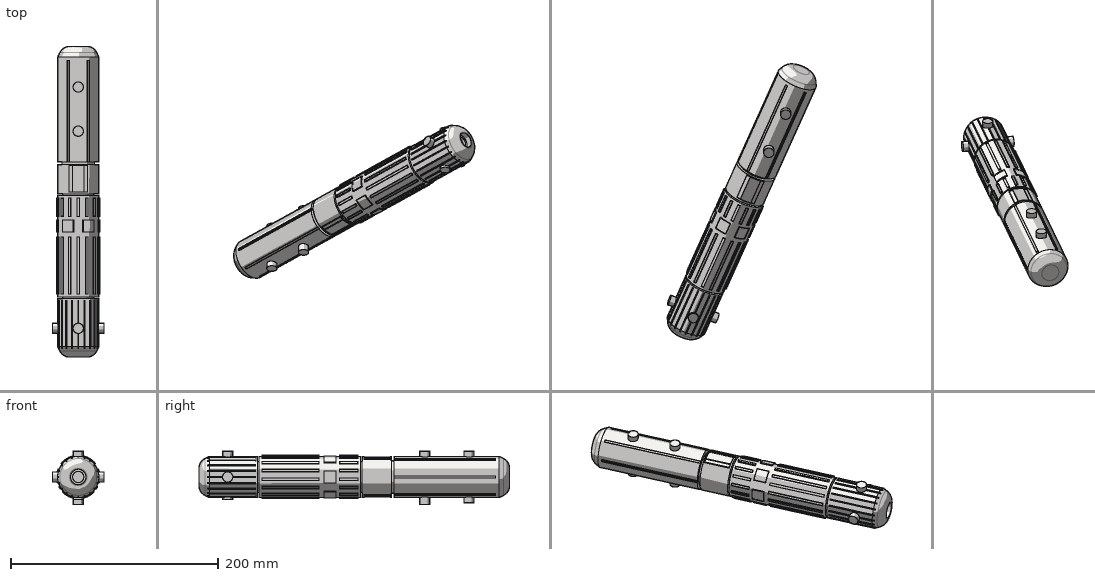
import cadquery as cq
import math

length = 300.0
half_length = length / 2
body_diameter = 40.0
body_radius = body_diameter / 2

dome_length = 10.2
cone_angle = 26.0
nose_radius = 10.5

sleeve_joint_y = 37.2
grip_neck_radius = 15.0
ring_grooves = [
    (sleeve_joint_y, 2.7, 16.0),
    (7.0, 1.5, grip_neck_radius),
    (-92.7, 1.5, grip_neck_radius),
]

sleeve_groove_count = 6
sleeve_groove_width = 2.0
sleeve_groove_depth = 1.0
sleeve_groove_end = 136.2

recess_back = 34.8
recess_front = 9.5
recess_half_width = 9.0
recess_depth = 1.0
bar_half_width = 5.5
bar_height = 19.2

grip_radius = 21.0
rib_count = 15
rib_width = 2.5
rib_spans = [(-14.0, 3.5), (-89.0, -34.0)]
pad_count = 6
pad_width = 12.0
pad_span = (-29.5, -17.5)

nose_groove_count = 20
nose_groove_width = 1.0
nose_groove_depth = 1.0
nose_groove_start = -95.5

pin_diameter = 10.0
nose_pin_y = -122.0
rear_pin_y = 110.7
middle_pin_y = 68.0
pin_span = 50.0
pin_reach = pin_span / 2
rear_pin_drop = 25.0
overall_height = 51.5
middle_pin_drop = overall_height - pin_reach
nose_pin_drop = 22.0

bore_diameter = 15.0
bore_depth = 5.5
inner_hole_diameter = 10.8
inner_hole_depth = 3.0


def radial_box(width, y_start, y_end, r_inner, r_outer, angle):
    """Box between two radii, turned about Y from +Z by the given angle."""
    box = cq.Workplane("XY").box(width, y_end - y_start, r_outer - r_inner)
    box = box.translate((0, (y_start + y_end) / 2, (r_inner + r_outer) / 2))
    return box.rotate((0, 0, 0), (0, 1, 0), angle)


def radial_set(count, *box_sizes):
    """Equally spaced radial boxes, the first one at +Z."""
    boxes = cq.Workplane("XY")
    for i in range(count):
        boxes = boxes.add(radial_box(*box_sizes, i * 360 / count))
    return boxes.combine()


def rod(radius, y_start, y_end):
    """Round rod along Y."""
    rod_solid = cq.Workplane("XZ").circle(radius).extrude(y_start - y_end)
    return rod_solid.translate((0, y_start, 0))


def pin(y, direction, reach):
    """Round pin from the axis out to the given reach."""
    return cq.Workplane(
        cq.Plane(origin=(0, y, 0), xDir=(0, 1, 0), normal=direction)
    ).circle(pin_diameter / 2).extrude(reach)


def turned_body():
    """Revolved body with a domed end at both sides."""
    slope = math.radians(cone_angle)
    turn = math.radians(90 - cone_angle)
    corner_radius = body_radius - dome_length * math.tan(slope)
    tangent = nose_radius * math.tan(turn / 2)
    face_radius = corner_radius - tangent
    seam_radius = corner_radius + tangent * math.sin(slope)
    seam_y = half_length - tangent * math.cos(slope)
    middle_radius = face_radius + nose_radius * math.sin(turn / 2)
    middle_y = half_length - nose_radius * (1 - math.cos(turn / 2))
    shoulder_y = half_length - dome_length
    profile = (
        cq.Workplane("XY")
        .moveTo(0, -half_length)
        .lineTo(face_radius, -half_length)
        .threePointArc((middle_radius, -middle_y), (seam_radius, -seam_y))
        .lineTo(body_radius, -shoulder_y)
        .lineTo(body_radius, shoulder_y)
        .lineTo(seam_radius, seam_y)
        .threePointArc((middle_radius, middle_y), (face_radius, half_length))
        .lineTo(0, half_length)
        .close()
    )
    return profile.revolve(360, (0, 0, 0), (0, 1, 0))


body = turned_body()

for groove_y, groove_width, floor_radius in ring_grooves:
    y_start = groove_y - groove_width / 2
    y_end = groove_y + groove_width / 2
    body = body.cut(rod(grip_radius, y_start, y_end).cut(rod(floor_radius, y_start, y_end)))

sleeve_grooves = radial_set(
    sleeve_groove_count, sleeve_groove_width, sleeve_joint_y, sleeve_groove_end,
    body_radius - sleeve_groove_depth, grip_radius,
).rotate((0, 0, 0), (0, 1, 0), 90)
body = body.cut(sleeve_grooves)

recess_shell = rod(grip_radius, recess_front, recess_back).cut(
    rod(body_radius - recess_depth, recess_front, recess_back)
)
for angle in (0, 180):
    window = radial_box(2 * recess_half_width, recess_front, recess_back, 0, grip_radius, angle)
    bar = radial_box(2 * bar_half_width, recess_front, recess_back, 0, bar_height, angle)
    above_bar = radial_box(2 * bar_half_width, recess_front, recess_back, bar_height, grip_radius, angle)
    body = body.cut(recess_shell.intersect(window)).cut(above_bar).union(bar)

for rib_start, rib_end in rib_spans:
    body = body.union(
        radial_set(rib_count, rib_width, rib_start, rib_end, grip_neck_radius, grip_radius)
    )
pad_blocks = radial_set(pad_count, pad_width, *pad_span, grip_neck_radius, grip_radius)
pad_blocks = pad_blocks.rotate((0, 0, 0), (0, 1, 0), 90)
body = body.union(rod(grip_radius, *pad_span).intersect(pad_blocks))

body = body.cut(
    radial_set(
        nose_groove_count, nose_groove_width, -half_length, nose_groove_start,
        body_radius - nose_groove_depth, grip_radius,
    )
)

up = (0, 0, 1)
down = (0, 0, -1)
left = (-1, 0, 0)
right = (1, 0, 0)
pins = [
    (rear_pin_y, up, pin_reach),
    (rear_pin_y, down, rear_pin_drop),
    (middle_pin_y, up, pin_reach),
    (middle_pin_y, down, middle_pin_drop),
    (nose_pin_y, up, pin_reach),
    (nose_pin_y, down, nose_pin_drop),
    (nose_pin_y, left, pin_reach),
    (nose_pin_y, right, pin_reach),
]
for pin_y, direction, reach in pins:
    body = body.union(pin(pin_y, direction, reach))

bore_floor = -half_length + bore_depth
body = body.cut(rod(bore_diameter / 2, -half_length, bore_floor))
body = body.cut(rod(inner_hole_diameter / 2, bore_floor, bore_floor + inner_hole_depth))

result = body